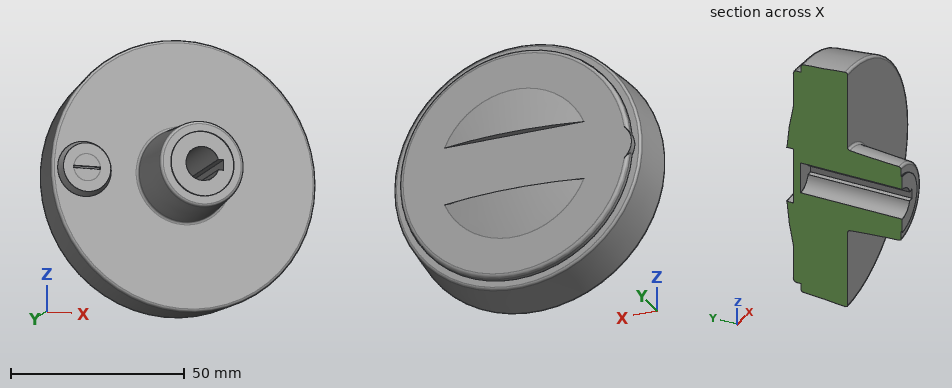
import cadquery as cq
import math


outer_diameter = 79.8
rim_width = 15.0
rim_draft = math.radians(5)
rim_fillet = 0.8
rim_corner_radius = outer_diameter / 2 + rim_fillet * (math.tan(rim_draft) + 1 / math.cos(rim_draft) - 1)
rim_back_radius = rim_corner_radius - rim_width * math.tan(rim_draft)

plate_radius = 36.0
plate_thickness = 2.5
plate_back_y = rim_width + plate_thickness
plate_fillet = 1.2
dome_edge_radius = 23.6
dome_sphere_radius = 111.75
dome_center_y = plate_back_y - math.sqrt(dome_sphere_radius**2 - dome_edge_radius**2)
dome_channel_width = 18.2

hub_length = 17.1
hub_base_radius = 13.7
hub_end_radius = 12.5
hub_base_fillet = 0.7
hub_end_fillet = 0.8
collar_diameter = 19.0
collar_height = 0.4
collar_end_y = -(hub_length + collar_height)

bore_diameter = 10.0
bore_depth = rim_width - collar_end_y
keyway_width = 3.0
keyway_reach = 6.4

pivot_x = -30.0
pivot_height = 2.5
pivot_base_diameter = 16.2
pivot_end_diameter = 14.3
screw_diameter = 8.0
screw_depth = 1.6
screw_slot_width = 0.6
screw_slot_depth = 0.8
back_boss_diameter = 13.3


def cylinder(diameter, start_y, end_y, center_x=0):
    """Round bar along Y between two stations."""
    return (
        cq.Workplane("XZ", origin=(center_x, start_y, 0))
        .circle(diameter / 2)
        .extrude(start_y - end_y)
    )


def cone(start_radius, end_radius, start_y, end_y, center_x=0):
    """Tapered bar along Y with the given radii at its two ends."""
    return (
        cq.Workplane("XY", origin=(center_x, 0, 0))
        .moveTo(0, start_y)
        .lineTo(start_radius, start_y)
        .lineTo(end_radius, end_y)
        .lineTo(0, end_y)
        .close()
        .revolve(360, (0, 0, 0), (0, 1, 0))
    )


def make_rim_and_hub():
    rim = cone(rim_corner_radius, rim_back_radius, 0, rim_width)
    rim = rim.edges("%CIRCLE").fillet(rim_fillet)
    hub = cone(hub_base_radius, hub_end_radius, 0, -hub_length)
    hub = hub.faces("<Y").edges().fillet(hub_end_fillet)
    corner_reach = hub_base_radius + hub_base_fillet
    hub_corner = cq.selectors.BoxSelector(
        (-corner_reach, -hub_base_fillet, -corner_reach),
        (corner_reach, hub_base_fillet, corner_reach),
        boundingbox=True,
    )
    body = rim.union(hub)
    body = body.edges(hub_corner).fillet(hub_base_fillet)
    return body.union(cylinder(collar_diameter, -hub_length, collar_end_y))


def make_cover():
    """Flat plate with a shallow dome split by a channel along X."""
    plate = cylinder(2 * plate_radius, rim_width, plate_back_y)
    plate = plate.faces(">Y").edges().fillet(plate_fillet)
    ball = cq.Workplane("XY", origin=(0, dome_center_y, 0)).sphere(dome_sphere_radius)
    dome_blank = cylinder(2 * plate_radius, plate_back_y, plate_back_y + dome_sphere_radius)
    channel = cq.Workplane("XY", origin=(0, plate_back_y, 0)).box(
        2 * plate_radius, dome_sphere_radius, dome_channel_width
    )
    dome = dome_blank.intersect(ball).cut(channel)
    return plate.union(dome)


def make_keyed_bore():
    bore = cylinder(bore_diameter, collar_end_y, collar_end_y + bore_depth)
    keyway = cq.Workplane("XY", origin=(0, collar_end_y, 0)).box(
        keyway_reach, bore_depth, keyway_width, centered=(False, False, True)
    )
    return bore.union(keyway)


def make_screw(screw_blank):
    """Screw flush with the end of the pivot boss, with one slot along X."""
    slot = cq.Workplane("XY", origin=(pivot_x, -pivot_height, 0)).box(
        screw_diameter, 2 * screw_slot_depth, screw_slot_width
    )
    return screw_blank.cut(slot)


body = make_rim_and_hub().union(make_cover())
body = body.union(cylinder(back_boss_diameter, rim_width, plate_back_y, pivot_x))
body = body.union(cone(pivot_base_diameter / 2, pivot_end_diameter / 2, 0, -pivot_height, pivot_x))
body = body.cut(make_keyed_bore())

screw_blank = cylinder(screw_diameter, -pivot_height, screw_depth - pivot_height, pivot_x)
result = body.cut(screw_blank).union(make_screw(screw_blank), clean=False)